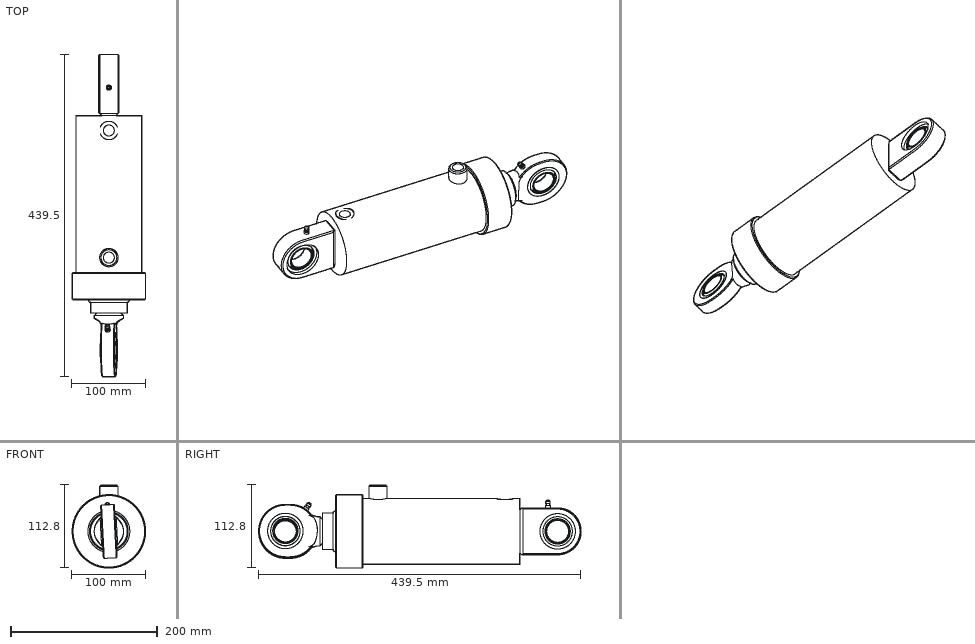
import cadquery as cq
import math


barrel_diameter = 90.0
barrel_length = 213.5
gland_diameter = 100.0
gland_length = 37.5
gland_chamfer = 1.5
collar_base_diameter = 57.0
collar_tip_diameter = 52.5
collar_length = 3.5

port_diameter = 25.0
port_hole_diameter = 15.0
port_hole_depth = 13.0
drill_point_angle = 118.0
rear_port_y = -20.0
rear_port_floor_z = 43.5
front_port_y = -193.0
front_port_top_z = 62.8
front_port_chamfer = 1.8

rod_diameter = 50.0
rod_length_beyond_collar = 14.5

bearing_bore = 30.0
bearing_outer_diameter = 47.0
bearing_ring_width = 18.0
bearing_ring_bore = 40.0
ball_diameter = 41.0
ball_width = 22.0
ball_bore_chamfer = 1.0
bearing_seat_diameter = 48.5

rear_eye_height = 64.0
rear_eye_width = 28.0
rear_eye_centre_y = 51.5
rear_eye_edge_chamfer = 1.8
weld_bevel_length = 4.5
weld_bevel_height = 2.5

rod_eye_height = 73.0
rod_eye_width = 19.0
rod_eye_flat_length = 6.5
rod_eye_edge_chamfer = 1.5
rod_eye_tilt = 3.0
rod_eye_to_rod = 50.5
shoulder_diameter = 40.0
shoulder_chamfer = 3.5
shoulder_length = 7.0
neck_length = 11.0
neck_end_diameter = 46.5
neck_slope_length = 3.5
neck_slope_end_width = 27.0

nipple_base_diameter = 7.0
nipple_base_height = 3.0
nipple_neck_diameter = 5.0
nipple_neck_height = 2.5
nipple_head_diameter = 6.0
nipple_head_height = 3.0
nipple_tip_diameter = 2.9
nipple_tip_height = 1.8
nipple_root = 2.0
rear_nipple_y = 38.0
rod_nipple_angle = 35.0

gland_front_y = -barrel_length - gland_length
collar_front_y = gland_front_y - collar_length
rod_front_y = collar_front_y - rod_length_beyond_collar
rod_eye_centre_y = rod_front_y - rod_eye_to_rod
rod_eye_back_y = rod_eye_centre_y + rod_eye_flat_length


def turned(profile):
    """Solid turned about the Y axis from (radius, y) points."""
    return cq.Workplane("XY").polyline(profile).close().revolve(360, (0, 0, 0), (0, 1, 0))


def disc_along_x(diameter, width, y):
    """Cylinder along X, centred on X = 0."""
    return cq.Workplane("YZ").center(y, 0).circle(diameter / 2).extrude(width / 2, both=True)


def drilled_hole(y, top_z):
    """Blind port hole going down from top_z and ending in a drill point."""
    radius = port_hole_diameter / 2
    point_height = radius / math.tan(math.radians(drill_point_angle / 2))
    profile = [
        (0, top_z),
        (radius, top_z),
        (radius, top_z - port_hole_depth),
        (0, top_z - port_hole_depth - point_height),
    ]
    hole = cq.Workplane("XZ").polyline(profile).close().revolve(360, (0, 0, 0), (0, 1, 0))
    return hole.translate((0, y, 0))


def spherical_bearing(y):
    """Ball bulging into an outer ring about the X axis, leaving a narrow groove on each side."""
    ball_radius = ball_diameter / 2
    bore_radius = bearing_bore / 2
    ball_half = ball_width / 2
    ball_face_radius = math.sqrt(ball_radius**2 - ball_half**2)
    ball = (
        cq.Workplane("XY")
        .moveTo(-ball_half + ball_bore_chamfer, bore_radius)
        .lineTo(ball_half - ball_bore_chamfer, bore_radius)
        .lineTo(ball_half, bore_radius + ball_bore_chamfer)
        .lineTo(ball_half, ball_face_radius)
        .threePointArc((0, ball_radius), (-ball_half, ball_face_radius))
        .lineTo(-ball_half, bore_radius + ball_bore_chamfer)
        .close()
        .revolve(360, (0, 0, 0), (1, 0, 0))
    )
    ring = (
        disc_along_x(bearing_outer_diameter, bearing_ring_width, 0)
        .cut(disc_along_x(bearing_ring_bore, bearing_ring_width, 0))
    )
    return ball.union(ring).translate((0, y, 0))


def with_bearing(eye, width, y):
    """Opens the bearing seat through an eye and fits the bearing in its middle."""
    seat_depth = (width - bearing_ring_width) / 2
    eye = eye.cut(disc_along_x(bearing_outer_diameter, width, y))
    for side in (-1, 1):
        seat = disc_along_x(bearing_seat_diameter, seat_depth, y)
        eye = eye.cut(seat.translate((side * (width - seat_depth) / 2, 0, 0)))
    return eye.union(spherical_bearing(y))


def grease_nipple():
    """Nipple along +Z with its seat at Z = 0 and a root below the seat."""
    base_top = nipple_base_height
    neck_top = base_top + nipple_neck_height
    head_top = neck_top + nipple_head_height
    tip_top = head_top + nipple_tip_height
    profile = [
        (0, -nipple_root),
        (nipple_base_diameter / 2, -nipple_root),
        (nipple_base_diameter / 2, base_top),
        (nipple_neck_diameter / 2, base_top),
        (nipple_neck_diameter / 2, neck_top),
        (nipple_head_diameter / 2, neck_top),
        (nipple_head_diameter / 2, head_top),
        (nipple_tip_diameter / 2, tip_top),
        (0, tip_top),
    ]
    return cq.Workplane("XZ").polyline(profile).close().revolve(360, (0, 0, 0), (0, 1, 0))


def make_barrel():
    """Barrel with its gland, wiper collar and two oil ports."""
    gland_radius = gland_diameter / 2
    barrel = turned([
        (0, 0),
        (barrel_diameter / 2, 0),
        (barrel_diameter / 2, -barrel_length),
        (gland_radius - gland_chamfer, -barrel_length),
        (gland_radius, -barrel_length - gland_chamfer),
        (gland_radius, gland_front_y + gland_chamfer),
        (gland_radius - gland_chamfer, gland_front_y),
        (collar_base_diameter / 2, gland_front_y),
        (collar_tip_diameter / 2, collar_front_y),
        (0, collar_front_y),
    ])
    boss = (
        cq.Workplane("XY")
        .center(0, front_port_y)
        .circle(port_diameter / 2)
        .extrude(front_port_top_z)
        .faces(">Z")
        .chamfer(front_port_chamfer)
    )
    spotface = (
        cq.Workplane("XY", origin=(0, rear_port_y, rear_port_floor_z))
        .circle(port_diameter / 2)
        .extrude(barrel_diameter / 2)
    )
    barrel = barrel.union(boss).cut(spotface)
    barrel = barrel.cut(drilled_hole(front_port_y, front_port_top_z))
    barrel = barrel.cut(drilled_hole(rear_port_y, rear_port_floor_z))
    return barrel.cut(make_rod())


def make_rod():
    """Plain rod reaching back through the collar and the gland."""
    return turned([
        (0, -barrel_length),
        (rod_diameter / 2, -barrel_length),
        (rod_diameter / 2, rod_front_y),
        (0, rod_front_y),
    ])


def make_rear_eye():
    """Round-ended eye standing on the rear face of the barrel, bevelled at its foot."""
    half_height = rear_eye_height / 2
    eye = (
        cq.Workplane("YZ")
        .moveTo(0, -half_height)
        .lineTo(rear_eye_centre_y, -half_height)
        .threePointArc((rear_eye_centre_y + half_height, 0), (rear_eye_centre_y, half_height))
        .lineTo(0, half_height)
        .close()
        .extrude(rear_eye_width / 2, both=True)
        .faces("<X or >X")
        .edges("not <Y")
        .chamfer(rear_eye_edge_chamfer)
    )
    half_width = rear_eye_width / 2
    for side in (-1, 1):
        side_bevel = (
            cq.Workplane("XY")
            .polyline([
                (side * half_width, 0),
                (side * (half_width - weld_bevel_length), 0),
                (side * half_width, weld_bevel_length),
            ])
            .close()
            .extrude(rear_eye_height, both=True)
        )
        end_bevel = (
            cq.Workplane("YZ")
            .polyline([
                (0, side * half_height),
                (0, side * (half_height - weld_bevel_height)),
                (weld_bevel_height, side * half_height),
            ])
            .close()
            .extrude(rear_eye_width, both=True)
        )
        eye = eye.cut(side_bevel).cut(end_bevel)
    nipple = grease_nipple().translate((0, rear_nipple_y, half_height))
    return with_bearing(eye.union(nipple), rear_eye_width, rear_eye_centre_y)


def make_rod_eye():
    """Oval eye with a turned shoulder, tilted about the rod axis."""
    radius = rod_eye_height / 2
    half_width = rod_eye_width / 2
    slab = (
        cq.Workplane("YZ")
        .center((rod_eye_centre_y + rod_eye_back_y) / 2, 0)
        .slot2D(rod_eye_height + rod_eye_flat_length, rod_eye_height)
        .extrude(half_width, both=True)
        .faces("<X or >X")
        .chamfer(rod_eye_edge_chamfer)
    )
    shoulder_radius = shoulder_diameter / 2
    shoulder_front_y = rod_front_y - shoulder_length
    neck_front_y = shoulder_front_y - neck_length
    neck = turned([
        (0, rod_front_y),
        (shoulder_radius - shoulder_chamfer, rod_front_y),
        (shoulder_radius, rod_front_y - shoulder_chamfer),
        (shoulder_radius, shoulder_front_y),
        (neck_end_diameter / 2, neck_front_y),
        (0, neck_front_y),
    ])
    slope_end_x = neck_slope_end_width / 2
    slope_end_y = shoulder_front_y - neck_slope_length
    hollow_front_y = neck_front_y - neck_slope_length
    for side in (-1, 1):
        hollow = (
            cq.Workplane("XY")
            .moveTo(side * half_width, hollow_front_y)
            .lineTo(side * half_width, neck_front_y)
            .tangentArcPoint((side * slope_end_x, slope_end_y), relative=False)
            .lineTo(side * shoulder_radius, shoulder_front_y)
            .lineTo(side * neck_end_diameter, shoulder_front_y)
            .lineTo(side * neck_end_diameter, hollow_front_y)
            .close()
            .extrude(neck_end_diameter, both=True)
        )
        neck = neck.cut(hollow)
    eye = slab.union(neck)

    lean = math.radians(rod_nipple_angle)
    nipple = (
        grease_nipple()
        .rotate((0, 0, 0), (1, 0, 0), -rod_nipple_angle)
        .translate((0, rod_eye_back_y + radius * math.sin(lean), radius * math.cos(lean)))
    )
    eye = with_bearing(eye.union(nipple), rod_eye_width, rod_eye_centre_y)
    return eye.rotate((0, 0, 0), (0, 1, 0), -rod_eye_tilt)


barrel = make_barrel()
rod = make_rod()
rear_eye = make_rear_eye()
rod_eye = make_rod_eye()

result = cq.Compound.makeCompound([barrel.val(), rod.val(), rear_eye.val(), rod_eye.val()])